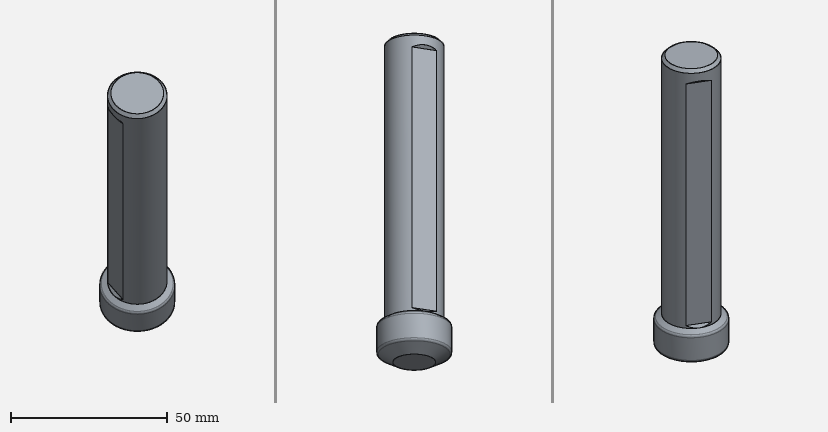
import cadquery as cq
import math

total_length = 110.0
shaft_diameter = 19.0
tip_chamfer = 1.1

head_diameter = 24.0
head_height = 14.0
bottom_face_diameter = 13.6
cone_slope = math.tan(math.radians(30))
head_edge_radius = 1.0

across_flats = 17.0
flat_bottom = 15.0
flat_top = 104.8

shaft_radius = shaft_diameter / 2
head_radius = head_diameter / 2
bottom_face_radius = bottom_face_diameter / 2
lower_edge_z = (head_radius - bottom_face_radius) * cone_slope
upper_edge_z = head_height - (head_radius - shaft_radius) * cone_slope


def make_head():
    """Revolved head with both outer edges rounded."""
    profile = (
        cq.Workplane("XZ")
        .lineTo(bottom_face_radius, 0)
        .lineTo(head_radius, lower_edge_z)
        .lineTo(head_radius, upper_edge_z)
        .lineTo(shaft_radius, head_height)
        .lineTo(0, head_height)
        .close()
    )
    head = profile.revolve(360, (0, 0, 0), (0, 1, 0))
    outer_edges = cq.selectors.BoxSelector(
        (-head_diameter, -head_diameter, lower_edge_z / 2),
        (head_diameter, head_diameter, (upper_edge_z + head_height) / 2),
    )
    return head.edges(outer_edges).edges("%CIRCLE").fillet(head_edge_radius)


def make_shaft():
    """Plain cylinder above the head, chamfered at the tip."""
    return (
        cq.Workplane("XY", origin=(0, 0, head_height))
        .circle(shaft_radius)
        .extrude(total_length - head_height)
        .faces(">Z")
        .chamfer(tip_chamfer)
    )


def make_flat_cutter(side):
    """Prism across the shaft that removes one flat; side is +1 or -1 along Y."""
    inner_y = across_flats / 2
    end_run = shaft_radius - inner_y
    profile = [
        (side * inner_y, flat_bottom),
        (side * inner_y, flat_top),
        (side * shaft_radius, flat_top + end_run),
        (side * shaft_radius, flat_bottom - end_run),
    ]
    return (
        cq.Workplane("YZ")
        .polyline(profile)
        .close()
        .extrude(shaft_radius, both=True)
    )


result = make_head().union(make_shaft())
for side in (-1, 1):
    result = result.cut(make_flat_cutter(side))